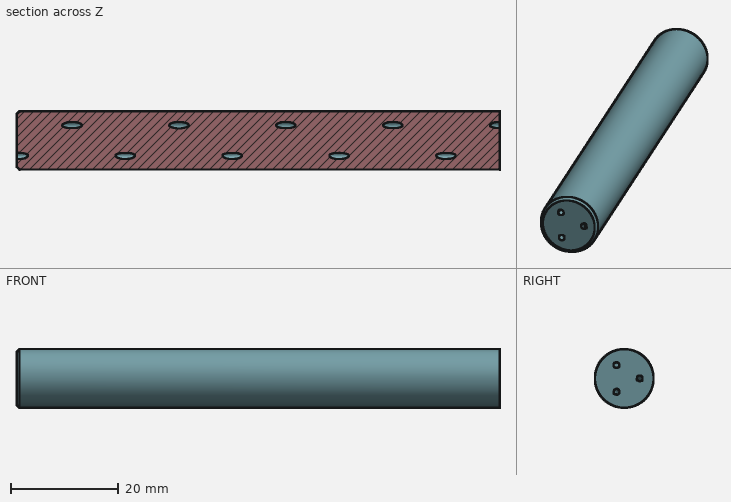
import math

import cadquery as cq

length = 90.0
diameter = 11.0
chamfer = 0.5

hole_count = 3
hole_diameter = 1.1
hole_circle_radius = 2.9
first_hole_angle = 178.0
helix_angle = 30.0

helix_pitch = math.pi * diameter / math.tan(math.radians(helix_angle))
twist = 360 * length / helix_pitch


def make_rod():
    """Round rod with its -X rim chamfered."""
    rod = cq.Workplane("YZ").circle(diameter / 2).extrude(length / 2, both=True)
    return rod.faces("<X").edges().chamfer(chamfer)


def make_helical_hole(angle):
    """Twisted round bar that enters the -X end at the given angle about X."""
    radians = math.radians(angle)
    y = hole_circle_radius * math.cos(radians)
    z = hole_circle_radius * math.sin(radians)
    return (
        cq.Workplane("YZ", origin=(-length / 2, 0, 0))
        .pushPoints([(y, z)])
        .circle(hole_diameter / 2)
        .twistExtrude(length, twist)
    )


result = make_rod()
for index in range(hole_count):
    result = result.cut(make_helical_hole(first_hole_angle + index * 360 / hole_count))